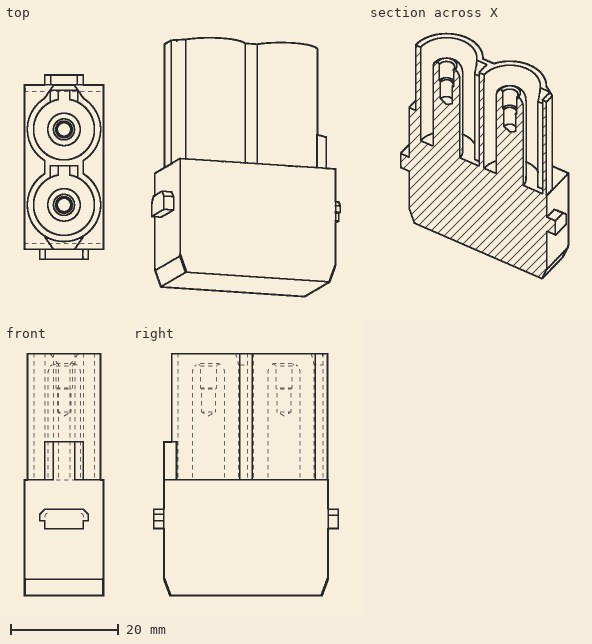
import cadquery as cq
import math

total_height = 44.85
body_width = 14.65
body_length = 30.45
body_height = 21.45
lead_in_height = 3.0
lead_in_depth = 1.1
lead_in_edge_break = 0.2

socket_pitch = 14.0
socket_outer_diameter = 13.6
socket_inner_diameter = 11.3
bridge_width = 7.1
socket_centers = [-socket_pitch / 2, socket_pitch / 2]

lug_tip_width = 3.95
lug_root_width = bridge_width
lug_depth = 2.3
back_lug_setback = 0.1
short_lug_height = 7.05

slot_reach = 7.2
slot_mouth_width = 5.15
slot_width = 2.05
slot_funnel_depth = 2.0

pin_diameter = 6.0
pin_tip_height = 43.05
pin_nose_radius = 2.0
pin_countersink_diameter = 3.9
pin_bore_diameter = 3.05
pin_bore_depth = 4.5
pin_pilot_diameter = 2.5
pin_pilot_depth = 8.95
pin_drill_point_depth = 0.7

tab_depth = 1.9
tab_bottom = 12.42
tab_top = 16.05
front_tab_width = 9.0
front_tab_stem_width = 7.1
front_tab_step = 13.9
front_tab_chamfer = 1.0
back_tab_width = 7.18
back_tab_chamfer = 1.1

half_length = body_length / 2
socket_height = total_height - body_height


def mirrored_outline(plane, right_side):
    """Close an outline from its right half, listed bottom to top, mirrored about the vertical axis."""
    left_side = [(-x, y) for x, y in reversed(right_side)]
    return cq.Workplane(plane).polyline(right_side + left_side).close()


def make_body():
    profile = [
        (half_length - lead_in_depth, 0),
        (half_length, lead_in_height),
        (half_length, body_height),
    ]
    body = mirrored_outline("YZ", profile).extrude(body_width / 2, both=True)
    sloped_edges = body.faces("<X or >X").edges("not(|Y or |Z)")
    return sloped_edges.chamfer(lead_in_edge_break)


def make_lug(setback, height):
    """Tapered lug standing on the body at its +Y end, set back from the end face."""
    tip_y = half_length - setback
    root_y = tip_y - lug_depth
    right_side = [
        (lug_root_width / 2, socket_pitch / 2),
        (lug_root_width / 2, root_y),
        (lug_tip_width / 2, tip_y),
    ]
    return mirrored_outline("XY", right_side).extrude(height).translate((0, 0, body_height))


def make_socket_shell():
    on_body = cq.Workplane("XY", origin=(0, 0, body_height))
    centers = [(0, y) for y in socket_centers]
    shell = on_body.pushPoints(centers).circle(socket_outer_diameter / 2).extrude(socket_height)
    bridge = on_body.rect(bridge_width, socket_pitch).extrude(socket_height)
    back_lug = make_lug(back_lug_setback, socket_height)
    front_lug = make_lug(0, short_lug_height).mirror("XZ")
    return shell.union(bridge).union(back_lug).union(front_lug)


def make_socket_cavity(center_y):
    """Round cavity with its key slot, open at the top."""
    bore = cq.Workplane("XY", origin=(0, center_y, body_height)).circle(socket_inner_diameter / 2)
    slot_profile = [
        (slot_width / 2, body_height),
        (slot_width / 2, total_height - slot_funnel_depth),
        (slot_mouth_width / 2, total_height),
    ]
    slot = mirrored_outline("XZ", slot_profile).extrude(-slot_reach).translate((0, center_y, 0))
    return bore.extrude(socket_height).union(slot)


def make_pin(center_y):
    """Round-nosed pin with a countersunk stepped bore, turned about its own axis."""
    pin_radius = pin_diameter / 2
    bore_radius = pin_bore_diameter / 2
    pilot_radius = pin_pilot_diameter / 2
    countersink_radius = pin_countersink_diameter / 2
    nose_center_offset = pin_nose_radius - (pin_radius - countersink_radius)
    nose_height = math.sqrt(pin_nose_radius**2 - nose_center_offset**2)
    pilot_bottom = pin_tip_height - pin_pilot_depth
    bore_bottom = pin_tip_height - pin_bore_depth
    countersink_depth = countersink_radius - bore_radius
    step_depth = bore_radius - pilot_radius
    half_section = (
        cq.Workplane("XZ")
        .moveTo(0, body_height)
        .lineTo(pin_radius, body_height)
        .lineTo(pin_radius, pin_tip_height - nose_height)
        .radiusArc((countersink_radius, pin_tip_height), -pin_nose_radius)
        .lineTo(bore_radius, pin_tip_height - countersink_depth)
        .lineTo(bore_radius, bore_bottom)
        .lineTo(pilot_radius, bore_bottom - step_depth)
        .lineTo(pilot_radius, pilot_bottom)
        .lineTo(0, pilot_bottom - pin_drill_point_depth)
        .close()
    )
    return half_section.revolve(360, (0, 0, 0), (0, 1, 0)).translate((0, center_y, 0))


def make_front_tab():
    """T-shaped tab on the -Y end face."""
    right_side = [
        (front_tab_stem_width / 2, tab_bottom),
        (front_tab_stem_width / 2, front_tab_step),
        (front_tab_width / 2, front_tab_step),
        (front_tab_width / 2, tab_top - front_tab_chamfer),
        (front_tab_width / 2 - front_tab_chamfer, tab_top),
    ]
    return mirrored_outline("XZ", right_side).extrude(tab_depth).translate((0, -half_length, 0))


def make_back_tab():
    """Straight tab with chamfered top corners on the +Y end face."""
    right_side = [
        (back_tab_width / 2, tab_bottom),
        (back_tab_width / 2, tab_top - back_tab_chamfer),
        (back_tab_width / 2 - back_tab_chamfer, tab_top),
    ]
    return mirrored_outline("XZ", right_side).extrude(-tab_depth).translate((0, half_length, 0))


shell = make_socket_shell()
for socket_y in socket_centers:
    shell = shell.cut(make_socket_cavity(socket_y))

result = make_body().union(shell)
for socket_y in socket_centers:
    result = result.union(make_pin(socket_y))
result = result.union(make_front_tab()).union(make_back_tab())